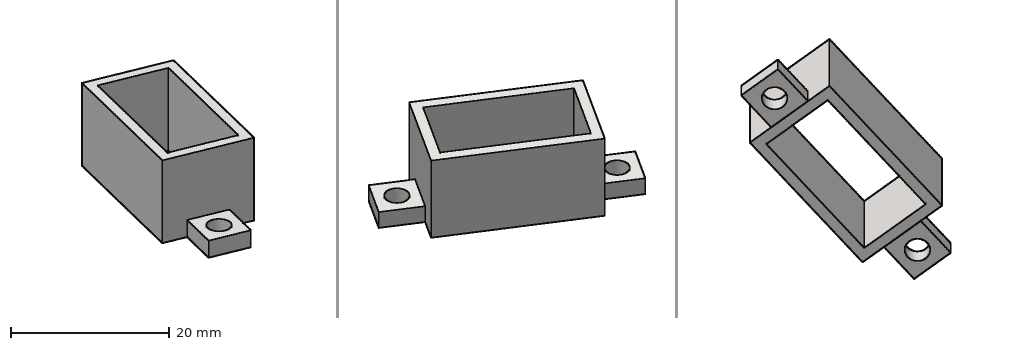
import cadquery as cq

overall_length = 34.5
tab_size = 6.0
tab_thickness = 2.5
tab_hole_diameter = 3.2

housing_length = overall_length - 2 * tab_size
housing_width = 13.0
housing_height = 12.0
wall = 1.5
opening_length = housing_length - 2 * wall
opening_width = housing_width - 2 * wall


def make_housing():
    """Rectangular tube standing on Z = 0, open at the top and the bottom."""
    return (
        cq.Workplane("XY")
        .rect(housing_length, housing_width)
        .rect(opening_length, opening_width)
        .extrude(housing_height)
    )


def make_tab(side):
    """Square mounting tab with a central through hole; side is -1 or +1 along X."""
    center_x = side * (housing_length + tab_size) / 2
    return (
        cq.Workplane("XY")
        .center(center_x, 0)
        .rect(tab_size, tab_size)
        .circle(tab_hole_diameter / 2)
        .extrude(tab_thickness)
    )


housing = make_housing()
tabs = [make_tab(side) for side in (-1, 1)]

result = cq.Compound.makeCompound([housing.val(), *[tab.val() for tab in tabs]])